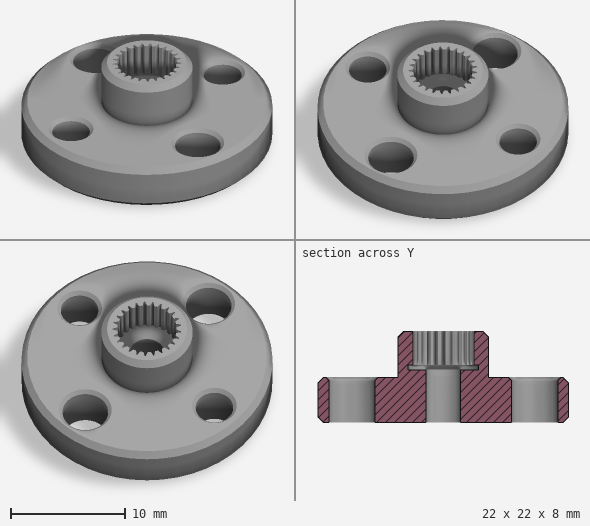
import cadquery as cq
import math

flange_diameter = 22.0
flange_height = 4.0
edge_chamfer = 0.5

hub_diameter = 8.0
hub_height = flange_height
total_height = flange_height + hub_height

bore_diameter = 3.0
spline_length = 3.0
spline_end = total_height - spline_length
groove_count = 25
tooth_tip_radius = 2.6
groove_bottom_radius = 3.01
groove_mouth_width = 0.37
groove_bottom_width = 0.1
flank_bulge = 0.007
relief_radius = 3.05
relief_height = 0.4

hole_circle_radius = 8.0
x_hole_diameter = 4.0
y_hole_diameter = 3.3
hole_chamfer = 0.3


def make_body():
    """Flange with both rims chamfered, carrying the hub with its top rim chamfered."""
    flange = cq.Workplane("XY").circle(flange_diameter / 2).extrude(flange_height)
    flange = flange.edges().chamfer(edge_chamfer)
    hub = cq.Workplane("XY").circle(hub_diameter / 2).extrude(total_height)
    hub = hub.faces(">Z").edges().chamfer(edge_chamfer)
    return flange.union(hub)


def polar_point(radius, angle):
    return (radius * math.cos(angle), radius * math.sin(angle))


def make_spline():
    """Splined cavity: evenly spaced grooves with slightly convex flanks, between rounded tooth tips."""
    mouth_half_angle = math.asin(groove_mouth_width / 2 / tooth_tip_radius)
    bottom_half_angle = math.asin(groove_bottom_width / 2 / groove_bottom_radius)
    middle_radius = (tooth_tip_radius + groove_bottom_radius) / 2
    middle_half_width = (groove_mouth_width + groove_bottom_width) / 4 - flank_bulge
    middle_half_angle = math.asin(middle_half_width / middle_radius)
    groove_pitch = 2 * math.pi / groove_count
    first_groove_angle = -math.pi / 2

    start = polar_point(tooth_tip_radius, first_groove_angle - mouth_half_angle)
    outline = cq.Workplane("XY").workplane(offset=spline_end).moveTo(*start)
    for index in range(groove_count):
        angle = first_groove_angle + index * groove_pitch
        next_angle = angle + groove_pitch
        outline = (
            outline.threePointArc(
                polar_point(middle_radius, angle - middle_half_angle),
                polar_point(groove_bottom_radius, angle - bottom_half_angle),
            )
            .threePointArc(
                polar_point(groove_bottom_radius, angle),
                polar_point(groove_bottom_radius, angle + bottom_half_angle),
            )
            .threePointArc(
                polar_point(middle_radius, angle + middle_half_angle),
                polar_point(tooth_tip_radius, angle + mouth_half_angle),
            )
            .threePointArc(
                polar_point(tooth_tip_radius, angle + groove_pitch / 2),
                polar_point(tooth_tip_radius, next_angle - mouth_half_angle),
            )
        )
    return outline.wire().extrude(spline_length)


def make_relief():
    """Round clearance below the spline, slightly wider than the groove bottoms."""
    relief = cq.Workplane("XY").workplane(offset=spline_end).circle(relief_radius)
    return relief.extrude(-relief_height)


def make_bore():
    return cq.Workplane("XY").circle(bore_diameter / 2).extrude(total_height)


def make_hole_pair(diameter, centers):
    """Through holes that flare out at the top face of the flange."""
    holes = cq.Workplane("XY").pushPoints(centers).circle(diameter / 2).extrude(flange_height)
    return holes.union(
        cq.Workplane("XY")
        .workplane(offset=flange_height)
        .pushPoints(centers)
        .circle(diameter / 2 + hole_chamfer)
        .extrude(-hole_chamfer, taper=45)
    )


x_holes = make_hole_pair(x_hole_diameter, [(-hole_circle_radius, 0), (hole_circle_radius, 0)])
y_holes = make_hole_pair(y_hole_diameter, [(0, -hole_circle_radius), (0, hole_circle_radius)])

result = (
    make_body()
    .cut(make_spline())
    .cut(make_relief())
    .cut(make_bore())
    .cut(x_holes)
    .cut(y_holes)
)